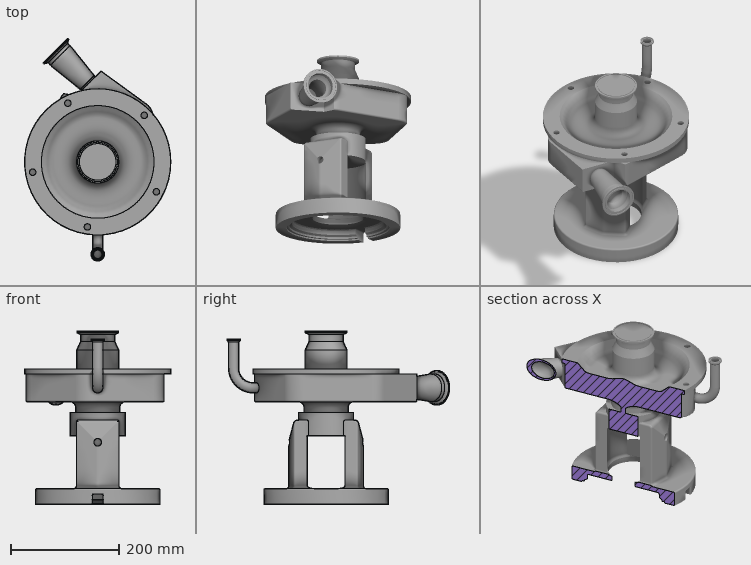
import cadquery as cq
import math


foot_top = 29.0
leg_top = 155.5
collar_bottom, collar_top = 126.5, 169.5
casing_bottom = 189.0
cover_bottom, cover_top = 240.5, 250.0
inlet_shoulder_bottom, inlet_shoulder_top = 284.5, 300.0
inlet_top = 319.5

foot_radius = 115.0
foot_hole_radius = 47.0
foot_edge_fillet = 3.0
cavity_radius = 85.0
cavity_top = 18.6
cavity_fillet = 2.2
cavity_lead_bottom, cavity_lead_top = 6.0, 8.7
spigot_radius = 90.0
rim_radius = 95.0
rim_height = 2.5
notch_width = 20.0

leg_half_width = 39.5
leg_ridge_y = 69.5
leg_slope = 15.0
leg_inner_radius = 52.4
leg_edge_fillet = 3.5
leg_shoulder_fillet = 8.0
leg_foot_fillet = 5.0
leg_ridge_fillet = 10.0
leg_bevel_z = 114.5
leg_hole_radius = 7.0
leg_hole_depth = 15.0

collar_radius = 51.0
neck_radius = 41.0
neck_fillet = 10.0

corner_count = 5
side_step = 360 / corner_count
rear_angle = 81.0
casing_apothem = 114.6
roof_turn = side_step / 2
roof_distance = 139.2
casing_corner_fillet = 34.0
casing_bottom_fillet = 3.0
outlet_angle = 135.0
outlet_face_distance = 114.3

cover_radius = 135.0
bolt_circle_radius = 121.5
bolt_hole_radius = 6.0
recess_radius = 104.0
recess_depth = 16.0
recess_fillet = 14.0
recess_wall_angle = 45.0

inlet_body_radius = 39.0
inlet_tube_radius, inlet_ferrule_radius = 31.75, 38.75
outlet_tube_radius, outlet_ferrule_radius = 25.4, 32.0
outlet_root_radius = 18.3
outlet_neck_radius, outlet_neck_length = 17.3, 3.0
outlet_bore_radius, outlet_bore_depth = 16.4, 19.4
outlet_mouth_depth = 12.4
outlet_offset = 90.0
outlet_end = 200.4
outlet_tube_length = 19.0
outlet_embed = 5.0
drain_tube_radius, drain_ferrule_radius = 9.5, 12.5
drain_y = -170.6
pipe_axis_z = 215.0
drain_bend_radius = 36.0
drain_top = 305.5
pipe_wall = 1.65
ferrule_rim = 2.85
ferrule_length = 6.35
groove_depth = 1.5
groove_land, groove_width = 2.4, 2.6
drain_groove_land, drain_groove_width = 1.5, 1.6

margin = 1.0


def polar(radius, angle):
    return radius * math.cos(math.radians(angle)), radius * math.sin(math.radians(angle))


def cylinder(radius, bottom, top):
    return cq.Workplane("XY").workplane(offset=bottom).circle(radius).extrude(top - bottom)


def revolve_z(profile):
    return profile.close().revolve(360, (0, 0), (0, 1))


def make_foot():
    foot = cylinder(foot_radius, 0, foot_top).faces(">Z").edges().fillet(foot_edge_fillet)
    cavity = revolve_z(
        cq.Workplane("XZ")
        .lineTo(rim_radius, 0)
        .lineTo(rim_radius, rim_height)
        .lineTo(spigot_radius, rim_height)
        .lineTo(spigot_radius, cavity_lead_bottom)
        .lineTo(cavity_radius, cavity_lead_top)
        .lineTo(cavity_radius, cavity_top)
        .lineTo(0, cavity_top)
    )
    cavity = cavity.faces(">Z").edges().fillet(cavity_fillet)
    notch = (
        cq.Workplane("XY")
        .box(notch_width, foot_radius, cavity_top, centered=(True, False, False))
        .translate((0, -foot_radius, 0))
        .edges("|Y and >Z")
        .fillet(cavity_fillet)
    )
    return foot.cut(cavity).cut(notch)


def make_leg():
    """Front leg: a V-faced post whose ridge is bevelled towards the top."""
    slope = math.tan(math.radians(leg_slope))
    side_y = leg_ridge_y - leg_half_width * slope
    leg = (
        cq.Workplane("XY")
        .workplane(offset=foot_top)
        .moveTo(-leg_half_width, 0)
        .lineTo(-leg_half_width, -side_y)
        .lineTo(0, -leg_ridge_y)
        .lineTo(leg_half_width, -side_y)
        .lineTo(leg_half_width, 0)
        .close()
        .extrude(leg_top - foot_top)
    )
    leg = leg.edges("|Z and <Y").fillet(leg_ridge_fillet)
    side_edges = cq.selectors.BoxSelector(
        (-leg_half_width - margin, -side_y - margin, foot_top),
        (leg_half_width + margin, -side_y + margin, leg_top),
    )
    leg = leg.edges("|Z").edges(side_edges).fillet(leg_edge_fillet)

    bevel_height = leg_top - leg_bevel_z
    bevel = (
        cq.Workplane("YZ")
        .moveTo(-leg_ridge_y, leg_bevel_z)
        .lineTo(-leg_ridge_y + bevel_height * slope, leg_top)
        .lineTo(-leg_ridge_y, leg_top)
        .close()
        .extrude(leg_half_width, both=True)
    )
    leg = leg.cut(bevel)
    leg = leg.faces(">Z").edges("<Y").fillet(leg_shoulder_fillet)
    leg = leg.faces(">Z").edges("|Y").fillet(leg_edge_fillet)
    hole = (
        cq.Workplane("XZ", origin=(0, -leg_ridge_y, leg_bevel_z))
        .circle(leg_hole_radius)
        .extrude(-leg_hole_depth)
    )
    return leg.cut(hole)


def make_bracket():
    front_leg = make_leg()
    legs = front_leg.union(front_leg.rotate((0, 0, 0), (0, 0, 1), 180))
    legs = legs.cut(cylinder(leg_inner_radius, 0, collar_bottom))
    bore = cylinder(foot_hole_radius, 0, foot_top)
    collar = cylinder(collar_radius, collar_bottom, collar_top)
    bracket = make_foot().union(legs).cut(bore).union(collar)

    for side in (-1, 1):
        roots = cq.selectors.BoxSelector(
            (-leg_half_width - margin, side * margin, foot_top - margin),
            (leg_half_width + margin, side * (leg_ridge_y + margin), foot_top + margin),
        )
        bracket = bracket.edges(roots).fillet(leg_foot_fillet)
    return bracket


def wall_corner(first, second):
    """Point where two upright walls meet, each given as (direction it faces, distance from the axis)."""
    (angle_1, distance_1), (angle_2, distance_2) = first, second
    a1 = math.radians(angle_1)
    a2 = math.radians(angle_2)
    x = (distance_1 * math.sin(a2) - distance_2 * math.sin(a1)) / math.sin(a2 - a1)
    y = (distance_2 * math.cos(a1) - distance_1 * math.cos(a2)) / math.sin(a2 - a1)
    return x, y


def make_casing():
    height = cover_bottom - casing_bottom
    flats = [(rear_angle + i * side_step, casing_apothem) for i in range(corner_count)]
    rear, left, front_left, front_right, right = flats
    roof_left = (90 + roof_turn, roof_distance)
    roof_right = (90 - roof_turn, roof_distance)
    walls = [roof_right, roof_left, left, front_left, front_right, right]
    corners = [wall_corner(wall, after) for wall, after in zip(walls, walls[1:] + walls[:1])]
    base = cq.Workplane("XY").workplane(offset=casing_bottom)
    casing = base.polyline(corners).close().extrude(height)

    upright = cq.selectors.ParallelDirSelector(cq.Vector(0, 0, 1))
    ridge = cq.selectors.NearestToPointSelector((*corners[0], casing_bottom + height / 2))
    casing = casing.edges(cq.selectors.SubtractSelector(upright, ridge)).fillet(casing_corner_fillet)
    casing = casing.faces("<Z").edges().fillet(casing_bottom_fillet)

    along_face = polar(cover_radius, outlet_angle - 90)
    along_rear = polar(cover_radius, rear_angle + 90)
    clearance = (
        base.moveTo(*wall_corner(rear, (outlet_angle, outlet_face_distance)))
        .line(*along_face)
        .line(*along_rear)
        .line(-along_face[0], -along_face[1])
        .close()
        .extrude(height)
    )
    return casing.cut(clearance)


def make_neck():
    return revolve_z(
        cq.Workplane("XZ")
        .moveTo(0, collar_top)
        .lineTo(neck_radius, collar_top)
        .lineTo(neck_radius, casing_bottom - neck_fillet)
        .radiusArc((neck_radius + neck_fillet, casing_bottom), neck_fillet)
        .lineTo(0, casing_bottom)
    )


def make_cover():
    cover = cylinder(cover_radius, cover_bottom, cover_top)
    holes = (
        cq.Workplane("XY")
        .workplane(offset=cover_bottom)
        .polarArray(bolt_circle_radius, rear_angle + side_step / 2, 360, corner_count)
        .circle(bolt_hole_radius)
        .extrude(cover_top - cover_bottom)
    )
    return cover.cut(holes)


def gasket_groove(ferrule_radius, land, width, face_z):
    outer = ferrule_radius - land
    return (
        cq.Workplane("XY")
        .workplane(offset=face_z)
        .circle(outer)
        .circle(outer - width)
        .extrude(-groove_depth)
    )


def make_recess():
    floor = cover_top - recess_depth
    fillet_run = recess_fillet * math.sin(math.radians(recess_wall_angle))
    fillet_rise = recess_fillet - fillet_run
    wall_foot = recess_radius - (recess_depth - fillet_rise)
    return revolve_z(
        cq.Workplane("XZ")
        .moveTo(inlet_body_radius, cover_top)
        .lineTo(inlet_body_radius, floor + recess_fillet)
        .radiusArc((inlet_body_radius + recess_fillet, floor), -recess_fillet)
        .lineTo(wall_foot - fillet_run, floor)
        .radiusArc((wall_foot, floor + fillet_rise), -recess_fillet)
        .lineTo(recess_radius, cover_top)
    )


def make_inlet():
    inlet = revolve_z(
        cq.Workplane("XZ")
        .moveTo(0, cover_top - recess_depth)
        .lineTo(inlet_body_radius, cover_top - recess_depth)
        .lineTo(inlet_body_radius, inlet_shoulder_bottom)
        .lineTo(inlet_tube_radius, inlet_shoulder_top)
        .lineTo(inlet_tube_radius, inlet_top - ferrule_length)
        .lineTo(inlet_ferrule_radius, inlet_top - ferrule_rim)
        .lineTo(inlet_ferrule_radius, inlet_top)
        .lineTo(0, inlet_top)
    )
    return inlet.cut(gasket_groove(inlet_ferrule_radius, groove_land, groove_width, inlet_top))


def place_outlet(shape):
    """Lay a shape built along Z onto the outlet axis."""
    return (
        shape.rotate((0, 0, 0), (0, 1, 0), 90)
        .translate((0, -outlet_offset, pipe_axis_z))
        .rotate((0, 0, 0), (0, 0, 1), outlet_angle)
    )


def add_outlet(body):
    cone_end = outlet_end - outlet_tube_length
    root = outlet_face_distance
    pipe = revolve_z(
        cq.Workplane("XZ")
        .moveTo(0, root - outlet_embed)
        .lineTo(outlet_neck_radius, root - outlet_embed)
        .lineTo(outlet_neck_radius, root + outlet_neck_length)
        .lineTo(outlet_root_radius, root + outlet_neck_length)
        .lineTo(outlet_tube_radius, cone_end)
        .lineTo(outlet_tube_radius, outlet_end - ferrule_length)
        .lineTo(outlet_ferrule_radius, outlet_end - ferrule_rim)
        .lineTo(outlet_ferrule_radius, outlet_end)
        .lineTo(0, outlet_end)
    )
    pipe = pipe.cut(gasket_groove(outlet_ferrule_radius, groove_land, groove_width, outlet_end))
    mouth_radius = outlet_tube_radius - pipe_wall
    bore = revolve_z(
        cq.Workplane("XZ")
        .moveTo(0, root)
        .lineTo(outlet_bore_radius, root)
        .lineTo(outlet_bore_radius, outlet_end - outlet_bore_depth)
        .lineTo(mouth_radius, outlet_end - outlet_mouth_depth)
        .lineTo(mouth_radius, outlet_end)
        .lineTo(0, outlet_end)
    )
    return body.union(place_outlet(pipe)).cut(place_outlet(bore))


def sweep_drain(radius):
    """Round bar along the drain: out of the casing, then a bend upwards."""
    path = (
        cq.Workplane("YZ")
        .moveTo(-casing_apothem, pipe_axis_z)
        .lineTo(drain_y + drain_bend_radius, pipe_axis_z)
        .radiusArc((drain_y, pipe_axis_z + drain_bend_radius), drain_bend_radius)
        .lineTo(drain_y, drain_top)
    )
    return cq.Workplane("XZ", origin=(0, -casing_apothem, pipe_axis_z)).circle(radius).sweep(path)


def add_drain(body):
    ferrule = revolve_z(
        cq.Workplane("XZ")
        .moveTo(0, drain_top - ferrule_length)
        .lineTo(drain_tube_radius, drain_top - ferrule_length)
        .lineTo(drain_ferrule_radius, drain_top - ferrule_rim)
        .lineTo(drain_ferrule_radius, drain_top)
        .lineTo(0, drain_top)
    )
    ferrule = ferrule.translate((0, drain_y, 0))
    groove = gasket_groove(drain_ferrule_radius, drain_groove_land, drain_groove_width, drain_top)
    pipe = sweep_drain(drain_tube_radius).union(ferrule).cut(groove.translate((0, drain_y, 0)))
    return body.union(pipe).cut(sweep_drain(drain_tube_radius - pipe_wall))


body = make_casing().union(make_cover()).cut(make_recess())
body = body.union(make_inlet()).union(make_neck())
body = add_outlet(body)
body = add_drain(body)
result = body.union(make_bracket())